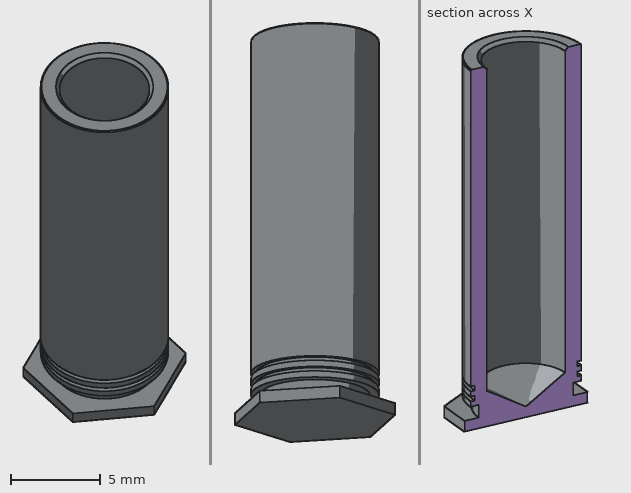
import cadquery as cq
import math

total_height = 22.0
hex_across_flats = 7.9
hex_across_corners = hex_across_flats / math.cos(math.radians(30))
flange_thickness = 0.68

barrel_diameter = 7.13
neck_diameter = 6.1
neck_top = 1.43
groove_diameter = 6.62
groove_width = 0.26
ring_width = 0.35
groove_count = 2
rim_chamfer = 0.07

bore_diameter = 5.0
drill_point_angle = 118.0
countersink_diameter = 5.41
bore_tip_height = flange_thickness


def hex_flange():
    return cq.Workplane("XY").polygon(6, hex_across_corners).extrude(flange_thickness)


def barrel():
    neck = cq.Workplane("XY").circle(neck_diameter / 2).extrude(neck_top)
    sleeve = (
        cq.Workplane("XY", origin=(0, 0, neck_top))
        .circle(barrel_diameter / 2)
        .extrude(total_height - neck_top)
        .faces(">Z")
        .edges()
        .chamfer(rim_chamfer)
    )
    return neck.union(sleeve)


def ring_groove(bottom):
    return (
        cq.Workplane("XY", origin=(0, 0, bottom))
        .circle(barrel_diameter / 2)
        .circle(groove_diameter / 2)
        .extrude(groove_width)
    )


def blind_bore():
    bore_radius = bore_diameter / 2
    countersink_radius = countersink_diameter / 2
    point_height = bore_radius / math.tan(math.radians(drill_point_angle / 2))
    countersink_depth = countersink_radius - bore_radius
    return (
        cq.Workplane("XZ")
        .moveTo(0, bore_tip_height)
        .lineTo(bore_radius, bore_tip_height + point_height)
        .lineTo(bore_radius, total_height - countersink_depth)
        .lineTo(countersink_radius, total_height)
        .lineTo(0, total_height)
        .close()
        .revolve(360, (0, 0, 0), (0, 1, 0))
    )


result = hex_flange().union(barrel())
for groove in range(groove_count):
    groove_bottom = neck_top + ring_width + groove * (groove_width + ring_width)
    result = result.cut(ring_groove(groove_bottom))
result = result.cut(blind_bore())